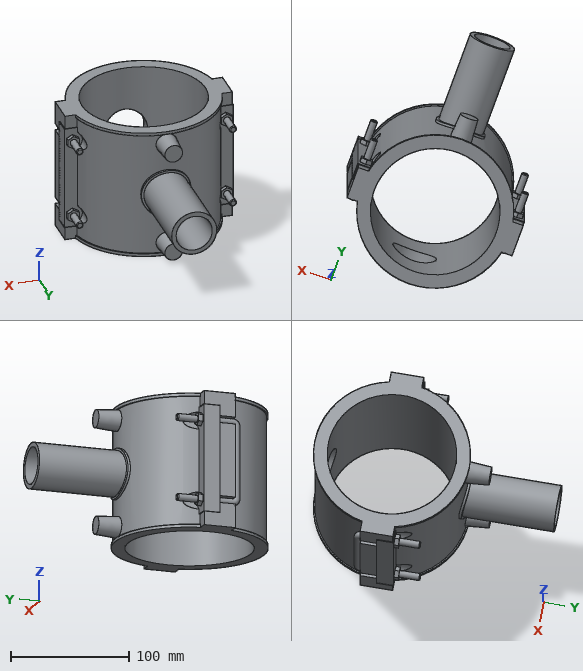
import cadquery as cq

height = 118.0
bore_radius = 54.8
body_radius = 65.3
lip_radius = 66.5
lip_thickness = 2.7

ear_reach = 74.3
ear_depth = 14.0

plate_thickness = 0.73
plate_height = 94.2
plate_reach = ear_reach + plate_thickness
plate_depth = ear_depth + plate_thickness

branch_end = 142.7
branch_diameter = 40.0
branch_bore = 32.0
collar_diameter = 44.0
collar_radius = body_radius + 2.0
window_diameter = 39.1

terminal_offset = 46.9
terminal_end = 84.8
terminal_tip_diameter = 15.7
terminal_base_diameter = 18.6

rod_diameter = 6.0
rod_x = 68.0
leg_offset = 35.2
rod_end = 36.6
bend_radius = 3.1
tip_chamfer = 0.8
nut_flats = 10.0
nut_end = 18.6
spotface_diameter = 17.8
spotface_length = 31.4


def box_between(x_min, x_max, y_min, y_max, size_z):
    """Block between the given X and Y limits, centred on Z = 0."""
    block = cq.Workplane("XY").box(x_max - x_min, y_max - y_min, size_z, centered=(False, False, True))
    return block.translate((x_min, y_min, 0))


def z_cylinder(radius, length):
    """Cylinder on the ring axis, centred on Z = 0."""
    return cq.Workplane("XY").circle(radius).extrude(length).translate((0, 0, -length / 2))


def y_plane(y, x=0, z=0):
    """Workplane at the given point whose normal is +Y and whose local x is +X."""
    return cq.Workplane(cq.Plane(origin=(x, y, z), xDir=(1, 0, 0), normal=(0, 1, 0)))


def make_shell():
    """Ring with end lips, ears and cover plates, before boring."""
    shell = z_cylinder(body_radius, height)
    lip = z_cylinder(lip_radius, lip_thickness)
    lip_z = (height - lip_thickness) / 2
    for side in (-1, 1):
        shell = shell.union(lip.translate((0, 0, side * lip_z)))
    shell = shell.union(box_between(-ear_reach, ear_reach, -ear_depth, ear_depth, height))
    return shell.union(box_between(-plate_reach, plate_reach, 0, plate_depth, plate_height))


def make_branch():
    """Branch pipe with a thin collar that follows the curve of the ring."""
    pipe = y_plane(0).circle(branch_diameter / 2).extrude(branch_end)
    collar = y_plane(0).circle(collar_diameter / 2).extrude(branch_end)
    return pipe.union(collar.intersect(z_cylinder(collar_radius, height)))


def make_terminal(z):
    """Tapered round stub rising from inside the ring wall."""
    base_y = (bore_radius + body_radius) / 2
    root = y_plane(base_y, 0, z).circle(terminal_base_diameter / 2).extrude(body_radius - base_y)
    stub = y_plane(body_radius, 0, z).circle(terminal_base_diameter / 2)
    stub = stub.workplane(offset=terminal_end - body_radius).circle(terminal_tip_diameter / 2).loft()
    return root.union(stub)


def leg_plane(y, side):
    """Workplane across the upper leg of the U-bolt on the given side."""
    return y_plane(y, side * rod_x, leg_offset)


def with_lower_copy(shape):
    """The shape together with its mirror image below Z = 0."""
    return shape.union(shape.mirror("XY"))


def make_u_bolt(side):
    """U-shaped rod that clamps the two ears on one side, with a nut on each leg."""
    rod_radius = rod_diameter / 2
    leg = leg_plane(-ear_depth, side).circle(rod_radius).extrude(ear_depth + rod_end)
    leg = leg.faces(">Y").chamfer(tip_chamfer)
    bend = leg_plane(-ear_depth, side).circle(rod_radius)
    bend = bend.revolve(90, (0, bend_radius), (1, bend_radius))
    nut = leg_plane(0, side).polygon(6, nut_flats, circumscribed=True).extrude(nut_end)
    bar = z_cylinder(rod_radius, 2 * (leg_offset - bend_radius))
    bar = bar.translate((side * rod_x, -ear_depth - bend_radius, 0))
    return with_lower_copy(leg.union(bend).union(nut)).union(bar)


def make_leg_slots(side):
    """Slots in the front ear, open to the outside, that take the U-bolt legs."""
    x_min, x_max = sorted((side * rod_x, side * ear_reach))
    slot = box_between(x_min, x_max, -ear_depth, 0, rod_diameter)
    return with_lower_copy(slot.translate((0, 0, leg_offset)))


def make_spotfaces(side):
    """Round clearance for the nuts, cut into the flank of the ring."""
    spotface = leg_plane(plate_depth, side).circle(spotface_diameter / 2).extrude(spotface_length)
    return with_lower_copy(spotface)


shell = make_shell()
for side in (-1, 1):
    shell = shell.cut(make_leg_slots(side)).cut(make_spotfaces(side))

shell = shell.union(make_branch())
for side in (-1, 1):
    shell = shell.union(make_terminal(side * terminal_offset))

shell = shell.cut(z_cylinder(bore_radius, height))
shell = shell.cut(y_plane(0).circle(branch_bore / 2).extrude(branch_end))
shell = shell.cut(y_plane(0).circle(window_diameter / 2).extrude(-lip_radius))

result = shell
for side in (-1, 1):
    result = result.union(make_u_bolt(side))